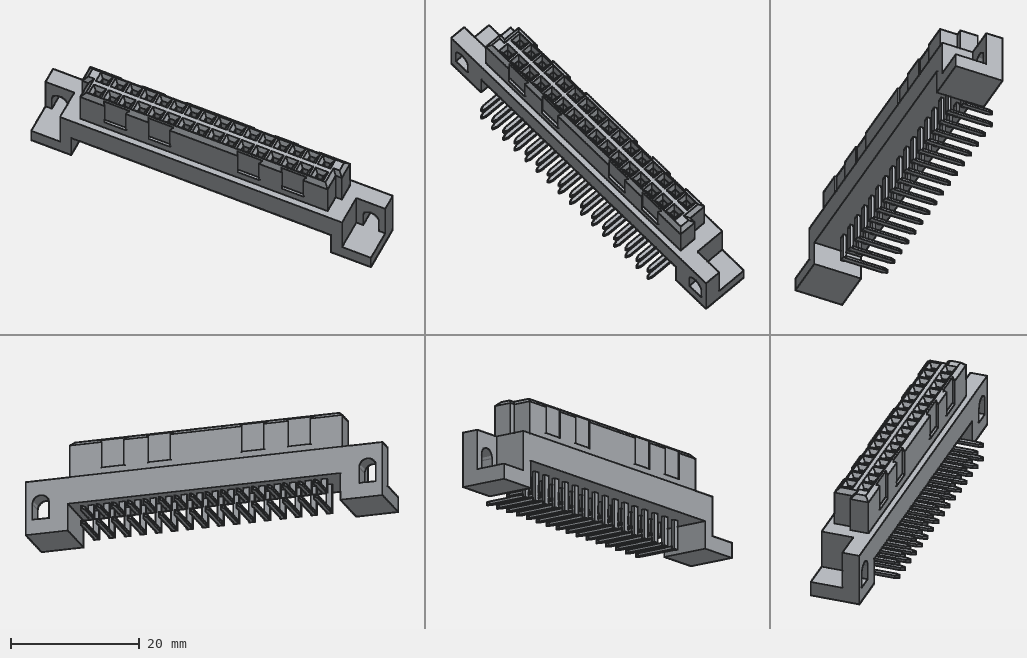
import cadquery as cq


body_length = 58.35
body_depth = 8.05
body_top = 8.8
body_underside = 4.45
foot_length = 6.9

ear_length = 4.95
ear_shelf = 2.45
ear_wall = 2.8
slot_width = 2.7
slot_from_end = 2.45
slot_top = 6.35

block_front = 1.05
block_back = 7.05
block_step_y = 4.0
block_top = 15.1
rear_half_length = body_length - 2 * foot_length
front_half_inset = 1.05
front_half_length = rear_half_length - 2 * front_half_inset
block_chamfer = 0.7

recess_centres = (7.65, 15.2)
recess_width = 3.6
recess_depth = 0.45
recess_flare = 0.35
recess_bottom = 10.2

contact_count = 16
contact_span = 38.1
contact_pitch = contact_span / (contact_count - 1)
row_centres = (2.75, 5.35)
front_row_y, back_row_y = row_centres

funnel_length = 2.15
funnel_width = 1.85
funnel_depth = 0.7
socket_length = 1.05
socket_width = 0.8
socket_depth = 2.9

leg_width = 0.95
leg_thickness = 0.45
leg_embedding = 0.6
tail_width = 0.7
tail_thickness = leg_thickness
tip_length = 0.7
tip_width = 0.25
tail_end = 11.0
front_row_pin_bottom = -0.25
back_row_pin_bottom = 2.2
front_row_leg_y = 3.25
back_row_leg_y = front_row_leg_y + (back_row_y - front_row_y)

contact_places = [i * contact_pitch - contact_span / 2 for i in range(contact_count)]


def box(length, depth, height, y, z):
    """Box centred on X = 0, with its front face at y and its underside at z."""
    return cq.Workplane("XY").box(length, depth, height, centered=(True, False, False)).translate((0, y, z))


def make_body():
    """Base bar on two end feet, with a pocket and a round-topped slot in each ear."""
    body = box(body_length, body_depth, body_top, 0, 0)
    body = body.cut(box(rear_half_length, body_depth, body_underside, 0, 0))
    pocket = box(ear_length, body_depth - ear_wall, body_top - ear_shelf, 0, ear_shelf)
    slot_radius = slot_width / 2
    arch_centre = slot_top - slot_radius
    slot = box(slot_width, body_depth, arch_centre - ear_shelf, 0, ear_shelf)
    arch = cq.Workplane("XZ", origin=(0, 0, arch_centre)).circle(slot_radius).extrude(-body_depth)
    slot = slot.union(arch)
    for side in (-1, 1):
        body = body.cut(pocket.translate((side * (body_length - ear_length) / 2, 0, 0)))
        body = body.cut(slot.translate((side * (body_length / 2 - slot_from_end), 0, 0)))
    return body


def make_recess():
    """Dovetail prism entering from y = 0 and widening towards its floor."""
    outer = recess_width / 2
    inner = outer + recess_flare
    return (
        cq.Workplane("XY", origin=(0, 0, recess_bottom))
        .polyline([(-outer, 0), (outer, 0), (inner, recess_depth), (-inner, recess_depth)])
        .close()
        .extrude(block_top - recess_bottom)
    )


def make_block():
    """Stepped mating block with a chamfered top rim and recesses on both long faces."""
    height = block_top - body_top
    block = box(rear_half_length, block_back - block_step_y, height, block_step_y, body_top)
    block = block.union(box(front_half_length, block_back - block_front, height, block_front, body_top))
    block = block.faces(">Z").edges().chamfer(block_chamfer)
    front_recess = make_recess().translate((0, block_front, 0))
    back_recess = make_recess().mirror("XZ").translate((0, block_back, 0))
    for centre in recess_centres:
        for side in (-1, 1):
            block = block.cut(front_recess.translate((side * centre, 0, 0)))
            block = block.cut(back_recess.translate((side * centre, 0, 0)))
    return block


def make_socket():
    """Rectangular funnel opening at the block top, ending in a straight socket."""
    funnel = (
        cq.Workplane("XY", origin=(0, 0, block_top))
        .rect(funnel_length, funnel_width)
        .workplane(offset=-funnel_depth)
        .rect(socket_length, socket_width)
        .loft(ruled=True)
    )
    socket = box(socket_length, socket_width, socket_depth, -socket_width / 2, block_top - socket_depth)
    return funnel.union(socket)


def make_pin(leg_y, bottom):
    """Right-angle pin whose leg starts at leg_y and whose tail rests at the given bottom height."""
    leg = box(leg_width, leg_thickness, body_underside + leg_embedding - bottom, leg_y, bottom)
    tip_start = tail_end - tip_length
    tail = (
        cq.Workplane("XY", origin=(0, 0, bottom))
        .moveTo(-tail_width / 2, leg_y)
        .lineTo(tail_width / 2, leg_y)
        .lineTo(tail_width / 2, tip_start)
        .lineTo(tip_width / 2, tail_end)
        .lineTo(-tip_width / 2, tail_end)
        .lineTo(-tail_width / 2, tip_start)
        .close()
        .extrude(tail_thickness)
    )
    return leg.union(tail)


def repeat_at_contacts(feature, y=0):
    """Copies of the feature at every contact place along X, as one compound."""
    copies = [feature.translate((x, y, 0)).val() for x in contact_places]
    return cq.Workplane("XY").newObject([cq.Compound.makeCompound(copies)])


socket = make_socket()
front_row_pin = make_pin(front_row_leg_y, front_row_pin_bottom)
back_row_pin = make_pin(back_row_leg_y, back_row_pin_bottom)

block = make_block()
for row_y in row_centres:
    block = block.cut(repeat_at_contacts(socket, row_y))

result = make_body().union(block)
for pin in (front_row_pin, back_row_pin):
    result = result.union(repeat_at_contacts(pin))